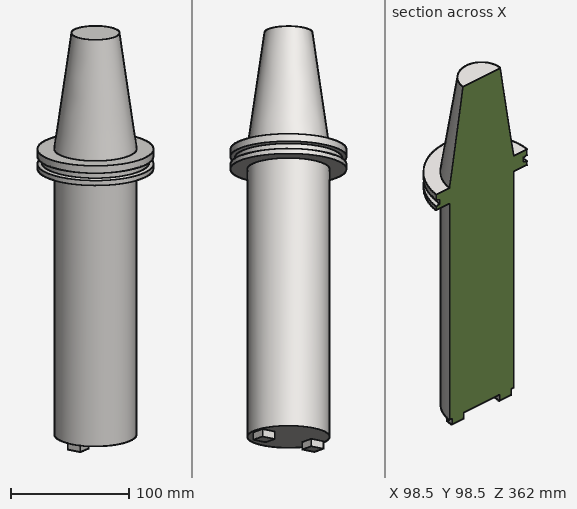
import cadquery as cq

total_length = 362.0
taper_length = 101.7
key_height = 6.5
gauge_land_height = 1.0
flange_thickness = 17.5
upper_rim_thickness = 6.5
groove_width = 6.5

small_end_diameter = 41.0
gauge_diameter = 70.0
body_diameter = 70.0
flange_diameter = 98.5
groove_depth = 3.5
groove_side_rise = 1.0

key_size = 13.0
key_offset = 25.7

gauge_level = total_length - taper_length
flange_top = gauge_level - gauge_land_height
flange_bottom = flange_top - flange_thickness
groove_top = flange_top - upper_rim_thickness
groove_bottom = groove_top - groove_width

flange_radius = flange_diameter / 2
groove_radius = flange_radius - groove_depth


def make_holder():
    """Revolve the tapered shank, V-grooved flange and long body."""
    profile = [
        (0, key_height),
        (body_diameter / 2, key_height),
        (body_diameter / 2, flange_bottom),
        (flange_radius, flange_bottom),
        (flange_radius, groove_bottom),
        (groove_radius, groove_bottom + groove_side_rise),
        (groove_radius, groove_top - groove_side_rise),
        (flange_radius, groove_top),
        (flange_radius, flange_top),
        (gauge_diameter / 2, flange_top),
        (gauge_diameter / 2, gauge_level),
        (small_end_diameter / 2, total_length),
        (0, total_length),
    ]
    return cq.Workplane("XZ").polyline(profile).close().revolve(360, (0, 0), (0, 1))


def make_keys():
    """Two square drive keys on opposite sides of the body's lower face."""
    return (
        cq.Workplane("XY")
        .pushPoints([(0, -key_offset), (0, key_offset)])
        .rect(key_size, key_size)
        .extrude(key_height)
    )


result = make_holder().union(make_keys())